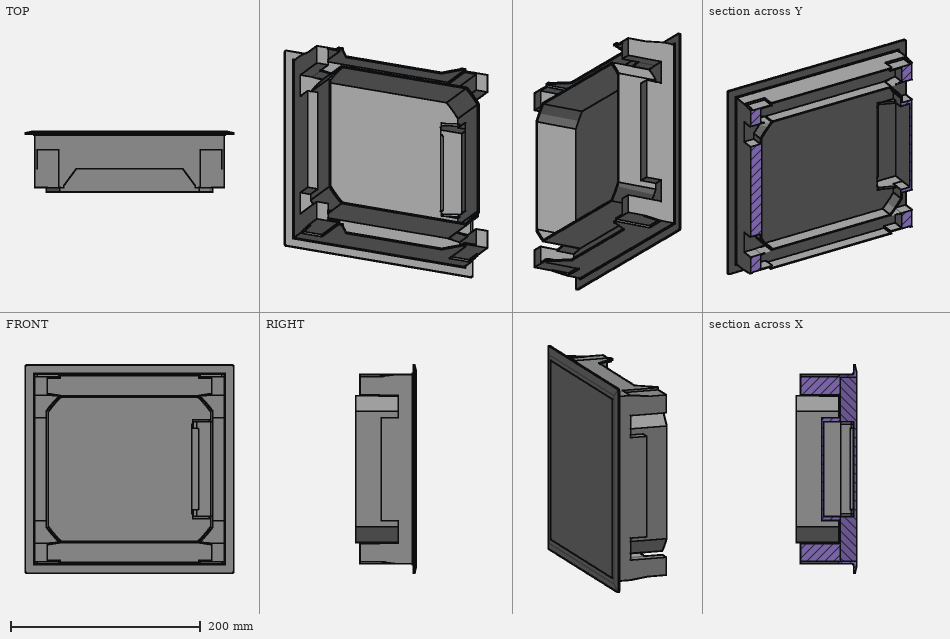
import cadquery as cq
import math


flange_size = 220.0
flange_corner_radius = 2.0
flange_crest_size = 204.0
flange_slope_depth = 1.8
flange_depth = 3.4
collar_size = 202.0
collar_depth = 4.3

body_size = 200.0
body_half = body_size / 2
wall = 1.6
side_wall = 3.1
lid_size = body_size - 2 * side_wall
ledge_depth = 17.35
ledge_thickness = 2.0
ledge_bottom = ledge_depth + ledge_thickness
foot_depth = 59.6
foot_width = 13.3
foot_inner_x = body_half - foot_width
foot_inner_z = 78.2

notch_depth = 39.4
notch_half_top = 56.0
notch_half_bottom = 69.3
notch_slope_end = 57.5

panel_sink = 2.4
panel_outer_x = body_half - panel_sink
panel_outer_z = body_half - panel_sink
panel_inner_x = 74.6

tub_half_x = 88.0
tub_half_z = 77.6
tub_corner_x = 73.5
tub_corner_z = 61.0
tub_corner_bulge = 0.5
tub_wall_x = 2.2
tub_inner_x = tub_half_x - tub_wall_x
tub_depth = 64.3

web_thickness = 1.6
web_tub_z = 77.0

bracket_half_length = 54.4
bracket_depth = 37.4

recess_min_x = 66.5
recess_max_x = lid_size / 2
recess_half_length = 49.8
recess_depth = 3.8
recess_middle_min_x = 65.7
recess_middle_half_length = 47.3
mouth_depth = 34.8

cheek_thickness = 2.5
cheek_slope_end_x = 84.1
cheek_start_depth = 15.6
cheek_crest_depth = 22.2

flap_max_x = 73.2
flap_thickness = 3.4
flap_half_length = 43.1
flap_corner_radius = 1.8
pin_min_x = 67.3
pin_max_x = 70.7
pin_thickness = 2.0

SIGNS = (-1, 1)
CORNERS = [(sx, sz) for sx in SIGNS for sz in SIGNS]


def at_depth(depth):
    """Workplane parallel to the lid; its extrusions go deeper along -Y."""
    return cq.Workplane("XZ").workplane(offset=depth)


def block(x0, x1, z0, z1, top, bottom):
    """Box between two X, two Z and two depth values."""
    sketch = at_depth(top).center((x0 + x1) / 2, (z0 + z1) / 2)
    return sketch.rect(abs(x1 - x0), abs(z1 - z0)).extrude(bottom - top)


def square(size, top, bottom):
    return at_depth(top).rect(size, size).extrude(bottom - top)


def tub_prism(inset_x, inset_z, top, bottom):
    """Eight-sided prism whose corner faces bulge slightly outward."""
    corner_length = math.hypot(tub_half_x - tub_corner_x, tub_half_z - tub_corner_z)
    bulge_x = tub_corner_bulge * (tub_half_z - tub_corner_z) / corner_length
    bulge_z = tub_corner_bulge * (tub_half_x - tub_corner_x) / corner_length
    half_x = tub_half_x - inset_x
    half_z = tub_half_z - inset_z
    side_z = tub_corner_z - inset_z / 2
    end_x = tub_corner_x - inset_x / 2
    mid_x = (half_x + end_x) / 2 + bulge_x
    mid_z = (half_z + side_z) / 2 + bulge_z
    outline = (
        at_depth(top)
        .moveTo(half_x, -side_z)
        .lineTo(half_x, side_z)
        .threePointArc((mid_x, mid_z), (end_x, half_z))
        .lineTo(-end_x, half_z)
        .threePointArc((-mid_x, mid_z), (-half_x, side_z))
        .lineTo(-half_x, -side_z)
        .threePointArc((-mid_x, -mid_z), (-end_x, -half_z))
        .lineTo(end_x, -half_z)
        .threePointArc((mid_x, -mid_z), (half_x, -side_z))
        .close()
    )
    return outline.extrude(bottom - top)


def make_flange():
    slope = (
        at_depth(0).rect(flange_crest_size, flange_crest_size)
        .workplane(offset=flange_slope_depth).rect(flange_size, flange_size)
        .loft(ruled=True)
    )
    plate = square(flange_size, flange_slope_depth, flange_depth)
    rounded = square(flange_size, 0, flange_depth).edges("|Y").fillet(flange_corner_radius)
    return slope.union(plate).intersect(rounded)


def make_skirt(side):
    """Wall along one Z side, with its trapezoid notch cut away."""
    skirt = block(
        -body_half, body_half, side * (body_half - wall), side * body_half, ledge_bottom, foot_depth,
    )
    notch = (
        cq.Workplane("XY")
        .polyline([
            (-notch_half_top, -notch_depth),
            (notch_half_top, -notch_depth),
            (notch_half_bottom, -notch_slope_end),
            (notch_half_bottom, -foot_depth),
            (-notch_half_bottom, -foot_depth),
            (-notch_half_bottom, -notch_slope_end),
        ])
        .close().extrude(body_size, both=True)
    )
    return skirt.cut(notch)


def make_panel_backing(sx, sz):
    """Skirt wall set inward behind a sunk panel."""
    return block(
        sx * foot_inner_x, sx * (panel_inner_x - wall), sz * (panel_outer_z - wall), sz * body_half,
        ledge_bottom, foot_depth,
    )


def make_panel_cut(sx, sz):
    """Sunk panel, with a ramp along its outer rim down to the full sink."""
    panel = block(
        sx * panel_inner_x, sx * panel_outer_x, sz * panel_outer_z, sz * body_half, ledge_bottom, foot_depth,
    )
    ramp = (
        cq.Workplane("YZ").workplane(offset=sx * panel_outer_x)
        .polyline([
            (-ledge_bottom, sz * body_half),
            (-notch_depth, sz * panel_outer_z),
            (-foot_depth, sz * panel_outer_z),
            (-foot_depth, sz * body_half),
        ])
        .close().extrude(sx * panel_sink)
    )
    return panel.union(ramp)


def make_foot(sx, sz):
    return block(
        sx * foot_inner_x, sx * body_half, sz * foot_inner_z, sz * body_half, ledge_bottom, foot_depth,
    )


def make_web(sx, sz):
    web = at_depth(ledge_bottom).polyline([
        (sx * foot_inner_x, sz * foot_inner_z),
        (sx * tub_corner_x, sz * web_tub_z),
        (sx * tub_corner_x, sz * (web_tub_z + web_thickness / 2)),
        (sx * foot_inner_x, sz * (foot_inner_z + web_thickness)),
    ])
    return web.close().extrude(notch_depth - ledge_bottom)


def make_frame():
    frame = make_flange()
    frame = frame.union(square(collar_size, flange_depth, collar_depth))
    frame = frame.union(square(body_size, collar_depth, ledge_bottom))
    frame = frame.union(tub_prism(0, 0, ledge_bottom, tub_depth))
    for side in SIGNS:
        frame = frame.union(make_skirt(side))
        bracket = block(
            side * tub_corner_x, side * body_half, -bracket_half_length, bracket_half_length,
            ledge_bottom, bracket_depth,
        )
        frame = frame.union(bracket)
    for sx, sz in CORNERS:
        frame = frame.union(make_foot(sx, sz))
        frame = frame.union(make_panel_backing(sx, sz))
        frame = frame.union(make_web(sx, sz))
        frame = frame.cut(make_panel_cut(sx, sz))
    frame = frame.cut(square(lid_size, 0, ledge_depth))
    frame = frame.cut(tub_prism(tub_wall_x, wall, ledge_depth, tub_depth))
    mouth = block(
        tub_inner_x, recess_max_x, -recess_half_length, recess_half_length, ledge_depth, mouth_depth,
    )
    return frame.cut(mouth)


def make_cheek(side):
    """Rib beside the recess whose front edge climbs toward the tub wall."""
    return (
        cq.Workplane("XY").workplane(offset=side * recess_half_length)
        .polyline([
            (recess_min_x, -recess_depth),
            (recess_min_x, -cheek_start_depth),
            (cheek_slope_end_x, -cheek_crest_depth),
            (tub_inner_x, -cheek_crest_depth),
            (tub_inner_x, -ledge_depth),
            (recess_max_x, -ledge_depth),
            (recess_max_x, -recess_depth),
        ])
        .close().extrude(side * cheek_thickness)
    )


def make_lid():
    pocket_half_length = recess_half_length + cheek_thickness
    lid = square(lid_size, 0, ledge_depth)
    lid = lid.cut(block(
        recess_min_x, recess_max_x, -pocket_half_length, pocket_half_length, recess_depth, ledge_depth,
    ))
    lid = lid.cut(block(
        recess_middle_min_x, recess_min_x, -recess_middle_half_length, recess_middle_half_length,
        recess_depth, ledge_depth,
    ))
    for side in SIGNS:
        lid = lid.union(make_cheek(side))
    return lid


def make_flap():
    flap = block(
        recess_middle_min_x, flap_max_x, -flap_half_length, flap_half_length,
        recess_depth, recess_depth + flap_thickness,
    )
    flap = flap.edges("|Y and >X").fillet(flap_corner_radius)
    pin = block(
        pin_min_x, pin_max_x, -recess_half_length, recess_half_length,
        recess_depth, recess_depth + pin_thickness,
    )
    return flap.union(pin)


frame = make_frame()
lid = make_lid()
flap = make_flap()

result = cq.Compound.makeCompound([frame.val(), lid.val(), flap.val()])